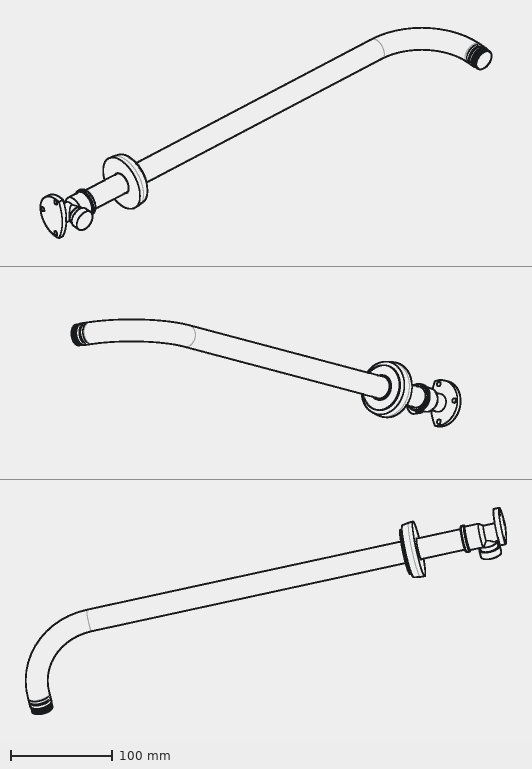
import cadquery as cq


total_width = 111.5
total_length = 501.0
flange_diameter = 55.5
flange_radius = flange_diameter / 2

tube_radius = 11.0
stem_radius = 10.5
bend_radius = 67.5
outlet_end_x = 77.5
outlet_y = total_length - tube_radius
bend_start_y = outlet_y - bend_radius

nipple_end_x = total_width - flange_radius
thread_radius = 10.5
thread_depth = 0.75
thread_pitch = 1.8
thread_turns = 3
nipple_chamfer = 0.5
spigot_radius = 10.0
spigot_start_x = 69.5
seal_groove_x = 72.5
seal_groove_width = 1.5
seal_groove_depth = 0.75

flange_bottom_y = 86.5
flange_rim_y = 91.0
flange_shoulder_y = 97.5
flange_step_y = 99.0
flange_top_y = 100.5
flange_rim_radius = 27.5
flange_shoulder_radius = 26.5
flange_step_radius = 22.5
collar_radius = 12.5
collar_height = 1.0

lock_ring_bottom_y = 37.0
lock_ring_top_y = 41.5
lock_ring_radius = 13.5
lock_ring_chamfer = 1.0

socket_radius = 12.0
socket_bottom_y = 23.5
socket_depth = 7.5
neck_radius = 9.0
neck_top_y = 19.0
stem_end_y = lock_ring_bottom_y - socket_depth

port_y = 18.5
port_radius = 8.5
port_step_x = 10.0
port_step_radius = 9.0
port_head_radius = 10.5
port_head_x = 15.0
port_end_x = 22.5

foot_radius = 23.0
foot_thickness = 5.5
foot_side_x = 10.0
foot_side_radius = 52.0
screw_hole_radius = 2.25
screw_circle_radius = 19.0
screw_angles = (90, 180, 270)


def cylinder_y(radius, start_y, end_y):
    """Cylinder on the arm's axis."""
    return cq.Workplane("XZ", origin=(0, start_y, 0)).circle(radius).extrude(start_y - end_y)


def cylinder_x(radius, start_x, end_x, axis_y):
    """Cylinder along X at height axis_y on the arm."""
    return cq.Workplane("YZ", origin=(start_x, axis_y, 0)).circle(radius).extrude(end_x - start_x)


def make_arm():
    stem = cylinder_y(stem_radius, stem_end_y, flange_bottom_y)
    straight = cylinder_y(tube_radius, flange_bottom_y, bend_start_y)
    bend = (
        cq.Workplane("XZ", origin=(0, bend_start_y, 0))
        .circle(tube_radius)
        .revolve(90, (bend_radius, 0, 0), (bend_radius, -1, 0))
    )
    outlet = cylinder_x(tube_radius, bend_radius, outlet_end_x, outlet_y)
    outlet_socket = cylinder_x(spigot_radius, spigot_start_x, outlet_end_x, outlet_y)
    return stem.union(straight).union(bend).union(outlet).cut(outlet_socket)


def make_nipple():
    """Turned nipple: plain spigot with a seal groove, then a threaded end of V-shaped rings."""
    groove_end_x = seal_groove_x + seal_groove_width
    groove_floor = spigot_radius - seal_groove_depth
    thread_root = thread_radius - thread_depth
    profile = (
        cq.Workplane("XY", origin=(0, outlet_y, 0))
        .moveTo(spigot_start_x, 0)
        .lineTo(spigot_start_x, spigot_radius)
        .lineTo(seal_groove_x, spigot_radius)
        .lineTo(seal_groove_x, groove_floor)
        .lineTo(groove_end_x, groove_floor)
        .lineTo(groove_end_x, spigot_radius)
        .lineTo(outlet_end_x, spigot_radius)
        .lineTo(outlet_end_x, thread_radius)
    )
    for turn in range(thread_turns):
        crest_x = outlet_end_x + turn * thread_pitch
        profile = profile.lineTo(crest_x + thread_pitch / 2, thread_root)
        profile = profile.lineTo(crest_x + thread_pitch, thread_radius)
    return (
        profile.lineTo(nipple_end_x - nipple_chamfer, thread_radius)
        .lineTo(nipple_end_x, thread_radius - nipple_chamfer)
        .lineTo(nipple_end_x, 0)
        .close()
        .revolve(360, (0, 0, 0), (1, 0, 0))
    )


def make_flange():
    return (
        cq.Workplane("XY")
        .moveTo(tube_radius, flange_bottom_y)
        .lineTo(flange_radius, flange_bottom_y)
        .lineTo(flange_rim_radius, flange_rim_y)
        .lineTo(flange_shoulder_radius, flange_shoulder_y)
        .lineTo(flange_step_radius, flange_step_y)
        .lineTo(flange_step_radius, flange_top_y)
        .lineTo(tube_radius, flange_top_y)
        .close()
        .revolve(360, (0, 0, 0), (0, 1, 0))
    )


def make_collar():
    collar_top_y = flange_top_y + collar_height
    bore = cylinder_y(tube_radius, flange_top_y, collar_top_y)
    return cylinder_y(collar_radius, flange_top_y, collar_top_y).cut(bore)


def make_lock_ring():
    disc = cylinder_y(lock_ring_radius, lock_ring_bottom_y, lock_ring_top_y)
    bore = cylinder_y(stem_radius, lock_ring_bottom_y, lock_ring_top_y)
    return disc.faces("<Y or >Y").edges().chamfer(lock_ring_chamfer).cut(bore)


def make_foot():
    plate = cylinder_y(foot_radius, 0, foot_thickness)
    side_arc = cylinder_y(foot_side_radius, 0, foot_thickness)
    foot = plate.intersect(side_arc.translate((foot_side_x - foot_side_radius, 0, 0)))
    screw_hole = cylinder_y(screw_hole_radius, 0, foot_thickness).translate((screw_circle_radius, 0, 0))
    for angle in screw_angles:
        foot = foot.cut(screw_hole.rotate((0, 0, 0), (0, 1, 0), angle))
    return foot


def make_elbow():
    barrel = (
        cq.Workplane("XY")
        .moveTo(0, 0)
        .lineTo(neck_radius, 0)
        .lineTo(neck_radius, neck_top_y)
        .lineTo(socket_radius, socket_bottom_y)
        .lineTo(socket_radius, lock_ring_bottom_y)
        .lineTo(0, lock_ring_bottom_y)
        .close()
        .revolve(360, (0, 0, 0), (0, 1, 0))
    )
    port = (
        cylinder_x(port_radius, 0, port_step_x, port_y)
        .union(cylinder_x(port_step_radius, port_step_x, port_head_x, port_y))
        .union(cylinder_x(port_head_radius, port_head_x, port_end_x, port_y))
    )
    stem_socket = cylinder_y(stem_radius, stem_end_y, lock_ring_bottom_y)
    return make_foot().union(barrel).union(port).cut(stem_socket)


arm = make_arm()
nipple = make_nipple()
flange = make_flange()
collar = make_collar()
lock_ring = make_lock_ring()
elbow = make_elbow()

result = cq.Compound.makeCompound(
    [arm.val(), nipple.val(), flange.val(), collar.val(), lock_ring.val(), elbow.val()]
)